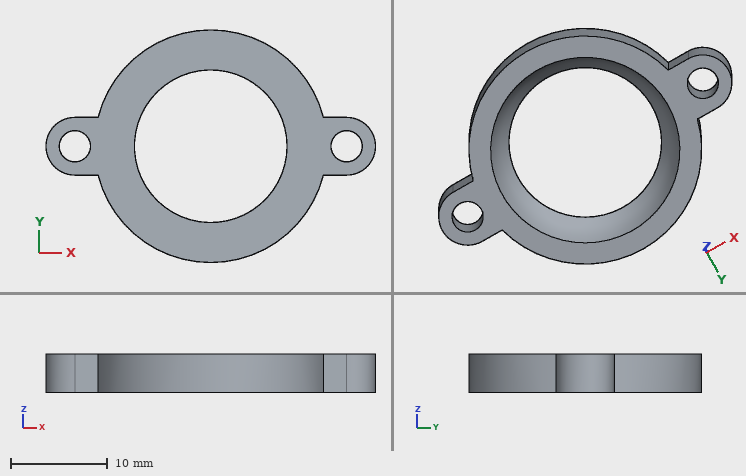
import cadquery as cq
import math

overall_length = 34.0
ring_diameter = 24.0
opening_diameter = 15.7
socket_radius = 10.0
thickness = 4.0
ear_width = 6.0
ear_hole_diameter = 3.2

hole_spacing = overall_length - ear_width

ring = cq.Workplane("XY").circle(ring_diameter / 2).extrude(thickness)
ears = cq.Workplane("XY").slot2D(overall_length, ear_width).extrude(thickness)
body = ring.union(ears)

socket_depth = math.sqrt(socket_radius**2 - (opening_diameter / 2) ** 2)
socket_center_height = thickness - socket_depth
socket = cq.Workplane("XY").sphere(socket_radius).translate((0, 0, socket_center_height))

ear_holes = (
    cq.Workplane("XY")
    .pushPoints([(-hole_spacing / 2, 0), (hole_spacing / 2, 0)])
    .circle(ear_hole_diameter / 2)
    .extrude(thickness)
)

result = body.cut(socket).cut(ear_holes)